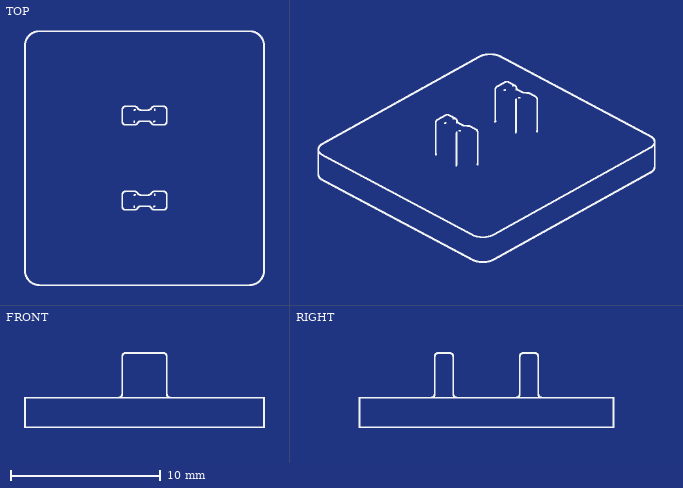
import cadquery as cq
import math

plate_length = 16.05
plate_width = 17.05
plate_thickness = 2.0
plate_corner_radius = 1.0

peg_pitch = 5.7
peg_height = 3.0
peg_length = 3.0
peg_width = 1.25
waist_width = 0.75
waist_flat_length = 0.5
profile_radius = 0.25
edge_radius = 0.249


def make_plate():
    """Flat plate with rounded corners, its underside on Z = 0."""
    plate = cq.Workplane("XY").box(
        plate_length, plate_width, plate_thickness, centered=(True, True, False)
    )
    return plate.edges("|Z").fillet(plate_corner_radius)


def make_notch():
    """Cutter for the waist on the +Y side: a flat floor with S-shaped flanks of two tangent arcs."""
    rim_y = peg_width / 2
    floor_y = waist_width / 2
    depth = rim_y - floor_y
    floor_x = waist_flat_length / 2
    flank_run = math.sqrt(depth * (4 * profile_radius - depth))
    rim_x = floor_x + flank_run
    middle_x = floor_x + flank_run / 2
    middle_y = floor_y + depth / 2

    half_turn = math.asin(flank_run / 2 / profile_radius) / 2
    arc_x = profile_radius * math.sin(half_turn)
    arc_y = profile_radius * (1 - math.cos(half_turn))

    return (
        cq.Workplane("XY")
        .moveTo(-rim_x, rim_y)
        .threePointArc((-rim_x + arc_x, rim_y - arc_y), (-middle_x, middle_y))
        .threePointArc((-floor_x - arc_x, floor_y + arc_y), (-floor_x, floor_y))
        .lineTo(floor_x, floor_y)
        .threePointArc((floor_x + arc_x, floor_y + arc_y), (middle_x, middle_y))
        .threePointArc((rim_x - arc_x, rim_y - arc_y), (rim_x, rim_y))
        .close()
        .extrude(peg_height)
    )


def make_peg():
    """Peg standing on Z = 0, waisted on both long sides, with a rounded top edge."""
    peg = cq.Workplane("XY").box(
        peg_length, peg_width, peg_height, centered=(True, True, False)
    )
    peg = peg.edges("|Z").fillet(profile_radius)
    notch = make_notch()
    peg = peg.cut(notch).cut(notch.mirror("XZ"))
    return peg.faces(">Z").edges().fillet(edge_radius)


def add_peg(body, peg_y):
    """Join a peg to the plate and fillet the corner around its foot."""
    body = body.union(make_peg().translate((0, peg_y, plate_thickness)))
    foot = cq.selectors.BoxSelector(
        (-peg_length, peg_y - peg_width, plate_thickness - edge_radius),
        (peg_length, peg_y + peg_width, plate_thickness + edge_radius),
    )
    return body.edges(foot).fillet(edge_radius)


part = make_plate()
for peg_y in (-peg_pitch / 2, peg_pitch / 2):
    part = add_peg(part, peg_y)

result = cq.Workplane("XY").newObject([part.solids().val()])